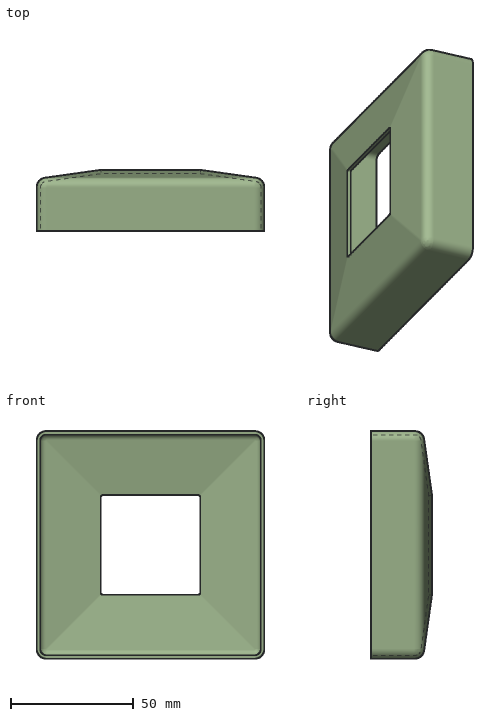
import cadquery as cq
import math

width = 93.0
depth = 25.0
wall = 1.5
corner_radius = 4.0
roof_angle = 8.0
opening = 40.55
opening_radius = 0.7

roof_slope = math.tan(math.radians(roof_angle))
roof_drop = wall / math.cos(math.radians(roof_angle))
outer_half = width / 2
opening_half = opening / 2
outer_peak = depth + opening_half * roof_slope
roof_flat_half = opening_half / 2


def square(half, y):
    """Square wire across the Y axis at depth y."""
    return cq.Workplane("XZ", origin=(0, y, 0)).rect(2 * half, 2 * half)


def rounded_block(half, peak, radius):
    """Square block with a pyramidal roof and rounded corners, eaves and hips."""
    eave = peak - half * roof_slope
    rise = (half - roof_flat_half) * roof_slope
    body = square(half, 0).extrude(-eave)
    roof = (
        square(half, eave)
        .workplane(offset=-rise)
        .rect(2 * roof_flat_half, 2 * roof_flat_half)
        .loft(ruled=True)
    )
    block = body.union(roof)
    rounded_edges = block.edges("not(<Y or >Y)")
    return rounded_edges.fillet(radius)


outer = rounded_block(outer_half, outer_peak, corner_radius)
cavity = rounded_block(outer_half - wall, outer_peak - roof_drop, corner_radius - wall)

window = square(opening_half, 0).extrude(-2 * depth).edges("|Y").fillet(opening_radius)

result = outer.cut(cavity).cut(window)